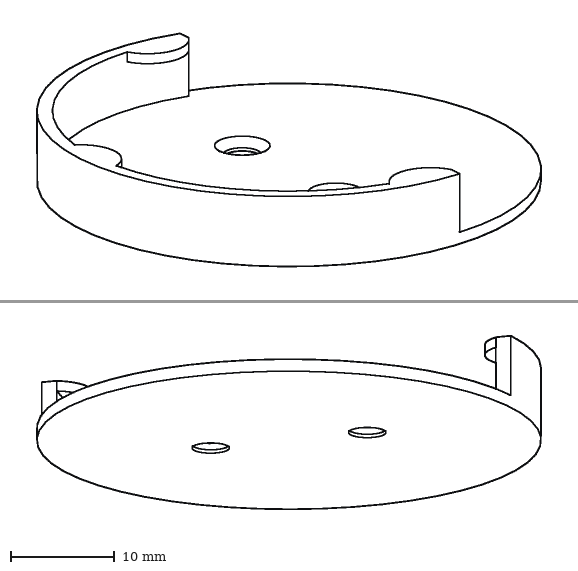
import cadquery as cq

outer_diameter = 48.5
outer_radius = outer_diameter / 2
total_height = 7.2
floor_thickness = 1.2

wall_thickness = 1.5
wall_end_y = 3.6
inner_radius = outer_radius - wall_thickness

tab_radius = 4.0
tab_thickness = 1.0
tab_centers = [(-outer_radius, 0), (outer_radius, 0), (0, -outer_radius)]

hole_spacing = 16.0
hole_diameter = 3.6
countersink_diameter = 5.35
countersink_angle = 90.0


def disc(radius, bottom, top):
    """Solid disc on the Z axis between two heights."""
    return cq.Workplane("XY").workplane(offset=bottom).circle(radius).extrude(top - bottom)


def make_rim():
    """Ring wall with inward tabs, cut off square at the wall end plane."""
    wall = disc(outer_radius, 0, total_height).cut(disc(inner_radius, 0, total_height))
    tab_bottom = total_height - tab_thickness
    tabs = (
        cq.Workplane("XY")
        .workplane(offset=tab_bottom)
        .pushPoints(tab_centers)
        .circle(tab_radius)
        .extrude(tab_thickness)
        .intersect(disc(outer_radius, tab_bottom, total_height))
    )
    kept_length = outer_radius + wall_end_y
    kept_side = (
        cq.Workplane("XY")
        .box(outer_diameter, kept_length, total_height, centered=(True, False, False))
        .translate((0, -outer_radius, 0))
    )
    return wall.union(tabs).intersect(kept_side)


def make_base():
    """Base plate with two screw holes countersunk from above."""
    return (
        disc(outer_radius, 0, floor_thickness)
        .faces(">Z")
        .workplane(origin=(0, 0, floor_thickness))
        .pushPoints([(-hole_spacing / 2, 0), (hole_spacing / 2, 0)])
        .cskHole(hole_diameter, countersink_diameter, countersink_angle)
    )


result = make_base().union(make_rim())